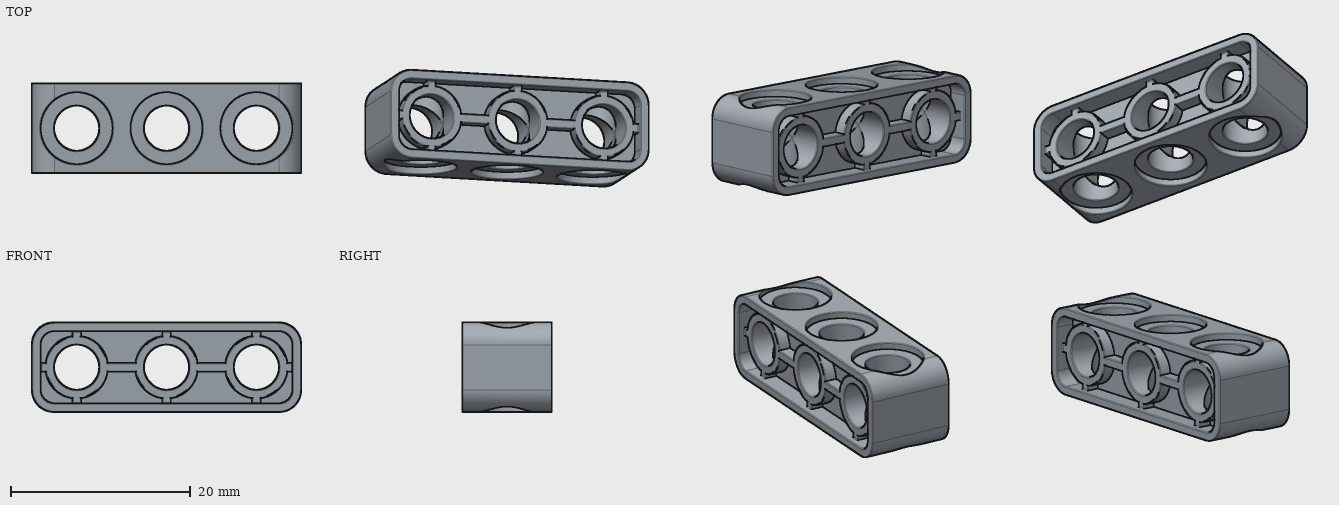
import cadquery as cq

length = 30.0
hole_count = 3
pitch = length / hole_count
height = pitch
width = pitch
half_height = height / 2
half_width = width / 2
corner_radius = pitch / 4
edge_round = pitch / 100

hole_diameter = pitch / 2
counterbore_diameter = 0.8 * pitch
counterbore_depth = 0.8
floor_height = half_height - counterbore_depth

wall = pitch / 10
pocket_depth = 2.25

ring_diameter = 7.0
rib_thickness = pitch / 10
ring_setback = 0.8
half_ring = half_width - ring_setback

pick_margin = 0.003

hole_points = [((index - (hole_count - 1) / 2) * pitch, 0) for index in range(hole_count)]


def block(size_x, size_z, half_y):
    """Box centred on the origin, reaching half_y to both sides of the XZ plane."""
    return cq.Workplane("XZ").rect(size_x, size_z).extrude(half_y, both=True)


def rod_row(plane, diameter, half_length):
    """Cylinders at the hole positions, centred on the given plane and normal to it."""
    return cq.Workplane(plane).pushPoints(hole_points).circle(diameter / 2).extrude(half_length, both=True)


def make_shell():
    """Rounded beam, hollowed from both Y faces down to a central web."""
    outer = block(length, height, half_width).edges("|Y").fillet(corner_radius)
    cavity = block(length - 2 * wall, height - 2 * wall, half_width)
    cavity = cavity.edges("|Y").fillet(corner_radius - wall)
    web = block(length, height, half_width - pocket_depth)
    return outer.cut(cavity.cut(web))


def make_rings_and_ribs():
    """Tubes around the Y holes, tied to each other and to the walls by ribs."""
    rings = rod_row("XZ", ring_diameter, half_ring)
    long_rib = block(length - wall, rib_thickness, half_ring)
    cross_ribs = (
        cq.Workplane("XZ")
        .pushPoints(hole_points)
        .rect(rib_thickness, height - wall)
        .extrude(half_ring, both=True)
    )
    return rings.union(long_rib).union(cross_ribs)


def cut_holes_and_counterbores(body):
    """Cut the Y and Z through holes, then the counterbores in both Z faces."""
    core = cq.Workplane("XY").box(length, width, 2 * floor_height)
    counterbores = rod_row("XY", counterbore_diameter, half_height).cut(core)
    return (
        body.cut(rod_row("XZ", hole_diameter, width))
        .cut(rod_row("XY", hole_diameter, height))
        .cut(counterbores)
    )


def pick_edges(body, centre, half_size):
    """Edges whose centres lie in the box of the given half size."""
    low = [c - h for c, h in zip(centre, half_size)]
    high = [c + h for c, h in zip(centre, half_size)]
    return body.edges(cq.selectors.BoxSelector(low, high))


def round_pocket_edges(body):
    """Round all edges in the outer Y faces and in the front planes of the tubes and ribs."""
    plane_slab = (length, pick_margin, height)
    for y in (half_ring, -half_ring, half_width, -half_width):
        body = pick_edges(body, (0, y, 0), plane_slab).fillet(edge_round)
    return body


def round_counterbore_edges(body):
    """Round the counterbore mouths and the hole mouths in the counterbore floors."""
    mouth_box = (counterbore_diameter / 2, counterbore_diameter / 2, counterbore_depth - pick_margin)
    floor_slab = (length, width, pick_margin)
    smallest_circles = cq.selectors.RadiusNthSelector(0)
    for side in (-1, 1):
        floor_centre = (0, 0, side * floor_height)
        body = pick_edges(body, floor_centre, floor_slab).edges(smallest_circles).fillet(edge_round)
        for x, _ in hole_points:
            mouth_edges = pick_edges(body, (x, 0, side * half_height), mouth_box).edges("not |Z")
            body = mouth_edges.fillet(edge_round)
    return body


body = make_shell().union(make_rings_and_ribs())
body = cut_holes_and_counterbores(body)
body = round_pocket_edges(body)
result = round_counterbore_edges(body)